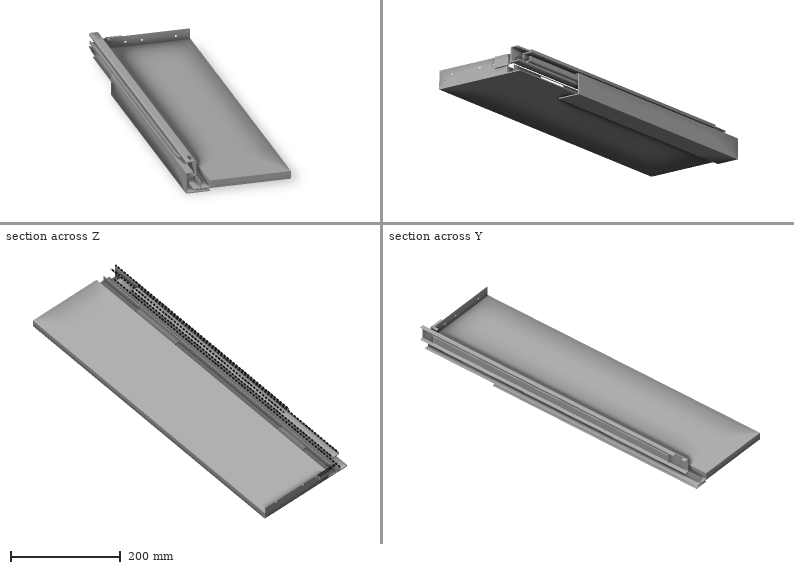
import cadquery as cq

total_length = 651.5
total_width = 199.0
total_height = 51.5
sheet = 2.0
thin_sheet = 1.0

tray_rear_x = 11.0
tray_floor_z = 6.5
tray_side_y = 14.0
side_wall_y = 27.5
side_wall_top = 21.0
window_top = 19.5
tab_spans = [(92.5, 161.0), (443.5, 553.0)]

board_side_y = 44.0
board_top = 21.5

rear_wall_top = 42.5
rear_wall_inset = 1.0
screw_hole_diameter = 4.0
screw_hole_z = 30.5
screw_hole_ys = [75.0, 106.0, 171.0]

bracket_rear_x = 7.0
bracket_bottom = 21.0
bracket_y = (38.5, 69.0)
hook_bottom = 23.5
hook_chamfer = 3.0
boss_height = 2.0
boss_y = (30.0, 36.5)
boss_z = (25.5, 34.5)
tongue_length = 10.0
tongue_width = 5.0

outer_length = 624.0
outer_front_y = 9.0
outer_bottom = 21.5
outer_corner_radius = 2.5
outer_lip = 4.5
slot_x = (597.0, 614.5)
slot_y = (16.0, 24.0)

middle_x = (28.5, 583.0)
middle_web_y = 21.5
middle_z = (27.0, 45.5)
middle_lower_lip_y = 4.0
middle_lower_lip_top = 37.0
middle_upper_lip_y = 1.0
middle_upper_lip_top = 49.5
middle_corner_radius = 2.5

profile_x = (171.0, 649.5)
profile_top = 40.5
profile_flange_y = 45.5
profile_hook_y = 14.5
profile_hook_bottom = 32.0


def box(x_span, y_span, z_span):
    """Axis-aligned box given by its start and end along each axis."""
    size = [end - start for start, end in (x_span, y_span, z_span)]
    corner = (x_span[0], y_span[0], z_span[0])
    return cq.Workplane("XY").box(*size, centered=False).translate(corner)


def extrude_section(points, x_span):
    """Closed (Y, Z) outline extruded along X."""
    section = cq.Workplane("YZ", origin=(x_span[0], 0, 0)).polyline(points).close()
    return section.extrude(x_span[1] - x_span[0])


tray_top_of_floor = tray_floor_z + sheet
lip_rear_x = total_length - thin_sheet
side_wall_inner_y = side_wall_y + thin_sheet


def make_tray():
    tray_x = (tray_rear_x, total_length)
    tray = box(tray_x, (tray_side_y, total_width), (tray_floor_z, tray_top_of_floor))
    front_lip = box((lip_rear_x, total_length), (board_side_y, total_width), (tray_floor_z, board_top))
    side_wall = box(
        (tray_rear_x, lip_rear_x), (side_wall_y, side_wall_inner_y), (tray_floor_z, side_wall_top)
    )
    tray = tray.union(front_lip).union(side_wall)
    for tab_x in tab_spans:
        tab_top = tray_top_of_floor + sheet
        window = box(tab_x, (side_wall_y, side_wall_inner_y), (tab_top, window_top))
        tab = box(tab_x, (side_wall_y, board_side_y), (tray_top_of_floor, tab_top))
        tray = tray.cut(window).union(tab)
    return tray


def make_board():
    return box((tray_rear_x, lip_rear_x), (board_side_y, total_width), (tray_top_of_floor, board_top))


def make_rear_wall():
    wall_x = (tray_rear_x, tray_rear_x + thin_sheet)
    wall = box(wall_x, (board_side_y, total_width - rear_wall_inset), (board_top, rear_wall_top))
    holes = (
        cq.Workplane("YZ", origin=(tray_rear_x, 0, 0))
        .pushPoints([(y, screw_hole_z) for y in screw_hole_ys])
        .circle(screw_hole_diameter / 2)
        .extrude(thin_sheet)
    )
    return wall.cut(holes)


def make_rear_bracket():
    return box((bracket_rear_x, tray_rear_x), bracket_y, (bracket_bottom, rear_wall_top))


def make_rear_hook():
    plate_front_x = tray_rear_x + thin_sheet
    plate = extrude_section(
        [
            (side_wall_inner_y, rear_wall_top),
            (board_side_y, rear_wall_top),
            (board_side_y, hook_bottom),
            (side_wall_inner_y + hook_chamfer, hook_bottom),
            (side_wall_inner_y, hook_bottom + hook_chamfer),
        ],
        (tray_rear_x, plate_front_x),
    )
    boss = box((tray_rear_x - boss_height, tray_rear_x), boss_y, boss_z)
    tongue = box(
        (plate_front_x, plate_front_x + tongue_length),
        (board_side_y - tongue_width, board_side_y),
        (rear_wall_top - sheet, rear_wall_top),
    )
    return plate.union(boss).union(tongue)


def make_outer_rail():
    rail_x = (0, outer_length)
    outside = box(rail_x, (outer_front_y, side_wall_y), (outer_bottom, total_height))
    outside = outside.edges("|X").fillet(outer_corner_radius)
    inside = box(
        rail_x,
        (outer_front_y + sheet, side_wall_y - sheet),
        (outer_bottom + sheet, total_height - sheet),
    )
    inside = inside.edges("|X").fillet(outer_corner_radius - sheet)
    mouth = box(
        rail_x,
        (outer_front_y, outer_front_y + 2 * sheet),
        (outer_bottom + outer_lip, total_height - outer_lip),
    )
    slot = box(slot_x, slot_y, (total_height - sheet, total_height))
    return outside.cut(inside).cut(mouth).cut(slot)


def make_middle_rail():
    bottom, top = middle_z
    rail = extrude_section(
        [
            (middle_lower_lip_y, middle_lower_lip_top),
            (middle_lower_lip_y, bottom),
            (middle_web_y, bottom),
            (middle_web_y, top),
            (middle_upper_lip_y + sheet, top),
            (middle_upper_lip_y + sheet, middle_upper_lip_top),
            (middle_upper_lip_y, middle_upper_lip_top),
            (middle_upper_lip_y, top - sheet),
            (middle_web_y - sheet, top - sheet),
            (middle_web_y - sheet, bottom + sheet),
            (middle_lower_lip_y + sheet, bottom + sheet),
            (middle_lower_lip_y + sheet, middle_lower_lip_top),
        ],
        middle_x,
    )
    return rail.edges("|X and (>Y or <Z)").fillet(middle_corner_radius)


def make_front_profile():
    return extrude_section(
        [
            (0, 0),
            (profile_flange_y, 0),
            (profile_flange_y, sheet),
            (sheet, sheet),
            (sheet, profile_top - sheet),
            (profile_hook_y - sheet, profile_top - sheet),
            (profile_hook_y - sheet, profile_hook_bottom),
            (profile_hook_y, profile_hook_bottom),
            (profile_hook_y, profile_top),
            (0, profile_top),
        ],
        profile_x,
    )


tray = make_tray()
board = make_board()
rear_wall = make_rear_wall()
rear_bracket = make_rear_bracket()
rear_hook = make_rear_hook()
outer_rail = make_outer_rail()
middle_rail = make_middle_rail()
front_profile = make_front_profile()

result = cq.Compound.makeCompound(
    [
        tray.val(),
        board.val(),
        rear_wall.val(),
        rear_bracket.val(),
        rear_hook.val(),
        outer_rail.val(),
        middle_rail.val(),
        front_profile.val(),
    ]
)